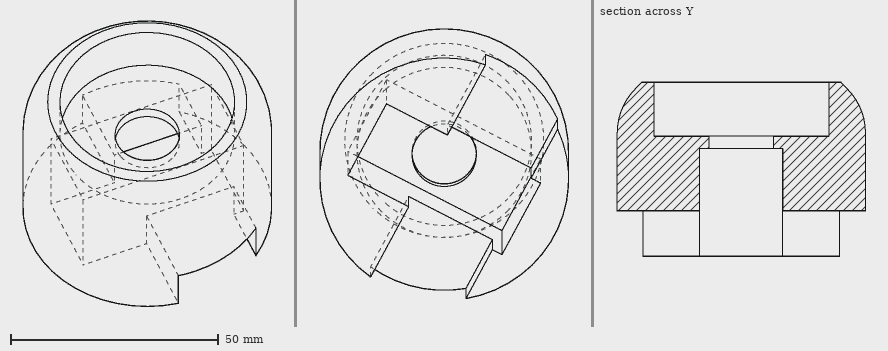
import cadquery as cq
import math

body_diameter = 60.0
body_height = 42.0
body_radius = body_diameter / 2

rim_radius = 24.0
shoulder_radius = 15.0
cone_angle = math.radians(45)

recess_diameter = 42.1
recess_depth = 13.0
floor_thickness = 3.0
hole_diameter = 15.5

cavity_length_x = 20.0
cavity_length_y = 42.0

slot_width = 22.8
slot_height = 11.0
slot_center_y = 7.0

recess_floor = body_height - recess_depth
cavity_top = recess_floor - floor_thickness

shoulder_center_r = body_radius - shoulder_radius
shoulder_center_z = (
    body_height
    + (rim_radius - shoulder_center_r) / math.tan(cone_angle)
    - shoulder_radius / math.sin(cone_angle)
)


def shoulder_point(angle):
    """Point (r, z) on the shoulder arc, with the angle measured up from horizontal."""
    return (
        shoulder_center_r + shoulder_radius * math.cos(angle),
        shoulder_center_z + shoulder_radius * math.sin(angle),
    )


def make_body():
    """Solid of revolution about Z: cylinder, rounded shoulder, cone and flat rim."""
    return (
        cq.Workplane("XZ")
        .lineTo(body_radius, 0)
        .lineTo(*shoulder_point(0))
        .threePointArc(shoulder_point(cone_angle / 2), shoulder_point(cone_angle))
        .lineTo(rim_radius, body_height)
        .lineTo(0, body_height)
        .close()
        .revolve(360, (0, 0, 0), (0, 1, 0))
    )


def make_recess():
    """Round recess, open at the top."""
    return cq.Workplane("XY").workplane(offset=recess_floor).circle(recess_diameter / 2).extrude(recess_depth)


def make_hole():
    """Centre hole through the floor, from the cavity to the recess."""
    return cq.Workplane("XY").workplane(offset=cavity_top).circle(hole_diameter / 2).extrude(floor_thickness)


def make_cavity():
    """Rectangular cavity from the bottom face up to the floor."""
    return cq.Workplane("XY").rect(cavity_length_x, cavity_length_y).extrude(cavity_top)


def make_slot():
    """Slot in the bottom face, as long as the body is wide."""
    return cq.Workplane("XY").center(0, slot_center_y).rect(body_diameter, slot_width).extrude(slot_height)


result = make_body()
for cutter in (make_recess(), make_hole(), make_cavity(), make_slot()):
    result = result.cut(cutter)